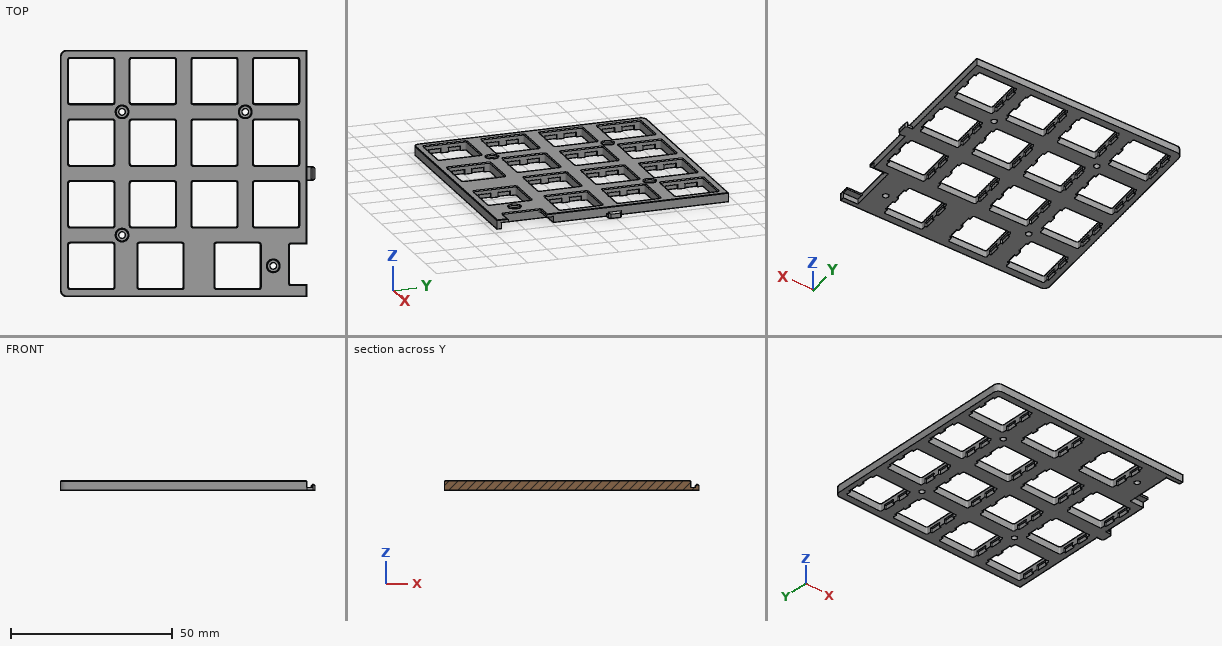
import cadquery as cq
key_pitch = 19.05
row_count = 4
overall_length = 78.75
plate_side = row_count * key_pitch
plate_thickness = 3.0
plate_left = -overall_length / 2
plate_right = plate_left + plate_side
plate_front = -plate_side / 2
corner_radius = 2.0
outline_chamfer = 0.2

opening_side = 14.0
opening_radius = 0.5
opening_chamfer = 0.3
regular_columns = [0.5, 1.5, 2.5, 3.5]
bottom_columns = [0.5, 1.625, 2.875]
row_y = [plate_front + (row + 0.5) * key_pitch for row in range(row_count)]

clip_width = 4.0
clip_gap = 2.4
clip_depth = 0.6
clip_rim_thickness = 1.5

notch_left = 31.5
notch_front = -34.4
notch_back = -21.8
notch_rim_thickness = 1.0
relief_overhang = 2.2
notch_overrun = 0.8

screw_diameter = 2.0
head_diameter = 3.6
head_depth = 1.0
offset_screw_x = 26.45
screw_points = [
    (plate_left + key_pitch, key_pitch),
    (plate_left + 3 * key_pitch, key_pitch),
    (plate_left + key_pitch, -key_pitch),
    (offset_screw_x, row_y[0]),
]

tab_width = 4.25
tab_length = overall_length - plate_side
tab_thickness = 0.95
hook_start = 1.3
hook_step = 1.3
hook_peak = 2.0
hook_height = 2.0
tip_height = 1.4
tip_chamfer = 0.55
hook_chamfer = 0.5


def block(x_range, y_range, height):
    """Box between the given X and Y limits, standing on Z = 0."""
    x_min, x_max = x_range
    y_min, y_max = y_range
    return (
        cq.Workplane("XY", origin=(x_min, y_min, 0))
        .box(x_max - x_min, y_max - y_min, height, centered=False)
    )


def switch_points():
    """Centres of all switch openings."""
    points = [(plate_left + column * key_pitch, row_y[0]) for column in bottom_columns]
    for y in row_y[1:]:
        points += [(plate_left + column * key_pitch, y) for column in regular_columns]
    return points


def base_plate():
    """Square plate with two rounded corners on the left and a chamfered top outline."""
    plate = block((plate_left, plate_right), (plate_front, -plate_front), plate_thickness)
    plate = plate.edges("|Z and <X").fillet(corner_radius)
    return plate.faces(">Z").edges().chamfer(outline_chamfer)


def switch_openings():
    """Cutter for the rounded square openings."""
    return (
        cq.Workplane("XY").pushPoints(switch_points())
        .rect(opening_side, opening_side).extrude(plate_thickness)
        .edges("|Z").fillet(opening_radius)
    )


def notch():
    """Cutter for the notch, running out past the right side."""
    x_range = (notch_left, plate_right + notch_overrun)
    cutter = block(x_range, (notch_front, notch_back), plate_thickness)
    return cutter.edges("|Z and <X").fillet(opening_radius)


def notch_relief():
    """Cutter that thins the rims in front of and behind the notch from below."""
    y_range = (notch_front - relief_overhang, notch_back + relief_overhang)
    return block((notch_left, plate_right), y_range, plate_thickness - notch_rim_thickness)


def clip_recesses():
    """Cutter for two recesses on each side of every opening, open at the bottom."""
    clip_offset = (clip_gap + clip_width) / 2
    points = []
    for x, y in switch_points():
        points += [(x, y - clip_offset), (x, y + clip_offset)]
    return (
        cq.Workplane("XY").pushPoints(points)
        .rect(opening_side + 2 * clip_depth, clip_width)
        .extrude(plate_thickness - clip_rim_thickness)
    )


def screw_holes():
    """Cutter for the counterbored screw holes."""
    shanks = (
        cq.Workplane("XY").pushPoints(screw_points)
        .circle(screw_diameter / 2).extrude(plate_thickness)
    )
    heads = (
        cq.Workplane("XY", origin=(0, 0, plate_thickness)).pushPoints(screw_points)
        .circle(head_diameter / 2).extrude(-head_depth)
    )
    return shanks.union(heads)


def snap_tab():
    """Flat tongue ending in an upright hook, starting at X = 0."""
    half_width = tab_width / 2
    tongue = block((0, hook_peak), (-half_width, half_width), tab_thickness)
    hook_side = [
        (hook_start, 0),
        (hook_start, hook_step),
        (hook_peak, hook_height),
        (tab_length, tip_height),
        (tab_length, 0),
    ]
    hook_profile = cq.Workplane("XZ").polyline(hook_side).close().extrude(half_width, both=True)
    hook_plan = (
        block((hook_start, tab_length), (-half_width, half_width), hook_height)
        .edges("|Z and >X").chamfer(tip_chamfer)
        .edges("|Z and <X").chamfer(hook_chamfer)
    )
    return tongue.union(hook_profile.intersect(hook_plan))


def chamfer_cutouts(plate):
    """Chamfer the top edges whose centres lie inside the outline: openings, notch and heads."""
    inside_outline = cq.selectors.BoxSelector(
        (plate_left + corner_radius, plate_front + corner_radius, 0),
        (plate_right - corner_radius, -plate_front - corner_radius, 2 * plate_thickness),
    )
    return plate.faces(">Z").edges(inside_outline).chamfer(opening_chamfer)


plate = base_plate().cut(switch_openings()).cut(notch()).cut(screw_holes())
plate = chamfer_cutouts(plate)
plate = plate.cut(clip_recesses()).cut(notch_relief())
result = plate.union(snap_tab().translate((plate_right, 0, 0)))